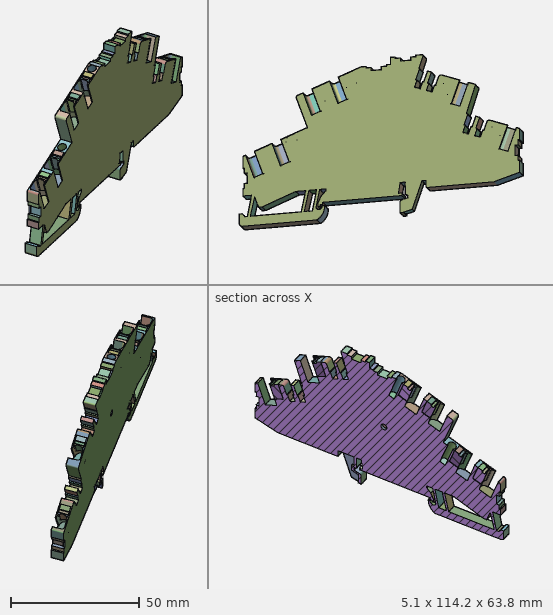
import cadquery as cq
import math


LENGTH = 114.2
THICKNESS = 5.1
LEFT_X = -THICKNESS / 2
RIGHT_X = THICKNESS / 2
FRONT_Y = LENGTH / 2
FOOT_REAR_Y = -LENGTH / 2
REAR_Y = -55.6
SLOPE = 20.0
SLOPE_RAD = math.radians(SLOPE)

UPPER_DECK_Z = 31.9
LOWER_DECK_Z = 29.0
HOUSING_BASE_Z = -19.5
WING_BASE_Z = -22.5
BODY_BASE_Z = -24.9
FOOT_TOP_Z = -28.0
FOOT_BASE_Z = -31.9

FRONT_UPPER_FACE = (16.1, 26.3)
FRONT_LOWER_FACE = (35.4, 6.3)
REAR_UPPER_FACE = (-7.5, LOWER_DECK_Z)
REAR_LOWER_FACE = (-29.3, 6.2)

FRONT_UPPER_END_Y = 39.2
REAR_UPPER_END_Y = -34.1

ENTRY_SIDE_X = -2.2
ENTRY_RADIUS = -ENTRY_SIDE_X
ENTRY_STRAIGHT = 3.8
ENTRY_CORNER_RADIUS = 1.0
ENTRY_DEPTH = 10.0
ACTUATOR_WIDTH = 4.1
ACTUATOR_START = 1.6
ACTUATOR_LENGTH = 4.3
ACTUATOR_DEPTH = 6.9
GROOVE_START = 0.9
GROOVE_WIDTH = 1.3
GROOVE_DEPTH = 0.8
TEST_HOLE_RADIUS = 1.7
TEST_HOLE_X = -0.1
TEST_HOLE_DEPTH = 10.3

ENTRIES = [
    (FRONT_LOWER_FACE, 52.2),
    (FRONT_UPPER_FACE, 32.7),
    (REAR_UPPER_FACE, -16.8),
    (REAR_UPPER_FACE, -27.5),
    (REAR_LOWER_FACE, -40.2),
    (REAR_LOWER_FACE, -50.9),
]
TEST_HOLES = [(REAR_UPPER_FACE, -9.1), (REAR_LOWER_FACE, -32.5)]

SLOT_DEPTH = 7.5
SLOT_STEP_DEPTH = 4.6
SLOT_FLOOR_WIDTH = 2.4
SLOT_MOUTH_OUTER = -0.5
SLOT_MOUTH_INNER = 3.0
SLOT_PITCH = 5.1
SLOTS = [(FRONT_UPPER_FACE, 24.0), (FRONT_LOWER_FACE, 43.6)]
CLEARANCE = 1.1

RECESS_WIDTH = 8.3
RECESS_STEP = 0.6
RECESS_FLOOR_WIDTH = 4.2
RECESS_LIP_DEPTH = 1.5
RECESS_FLOOR_DEPTH = 1.8
RECESS_LIP_WIDTH = 0.7
RECESSES = [
    ((10.6, UPPER_DECK_Z), 0),
    ((-1.4, LOWER_DECK_Z), 0),
    ((REAR_Y, -12.3), 90),
    ((FRONT_Y, -10.4), -90),
]

SIDE_HOLE_CENTER = (-2.0, 1.9)
SIDE_HOLE_RADIUS = 1.3
SIDE_HOLE_DEPTH = 2.3

LATCH_WEB_INSET = 1.9

FOOT_LEGS = [
    (-24.3, -25.6, -26.0, -27.3),
    (-28.7, -30.0, -30.6, -31.9),
    (-50.6, -52.1, -52.5, -53.8),
]
FOOT_CORNER_RADIUS = 1.4

END_RADIUS = 0.9
SLOT_LIP_RADIUS = 1.1
SMALL_RADIUS = 0.5


def plate(points, x_from=LEFT_X, x_to=RIGHT_X):
    """Prism along X with the given (Y, Z) outline."""
    return cq.Workplane("YZ", origin=(x_from, 0, 0)).polyline(points).close().extrude(x_to - x_from)


def block(x_range, y_range, z_range):
    """Box given by its limits along each axis."""
    sizes = [high - low for low, high in (x_range, y_range, z_range)]
    corner = (x_range[0], y_range[0], z_range[0])
    return cq.Workplane("XY", origin=corner).box(*sizes, centered=False)


def on_face(face, y):
    """Point (Y, Z) of a sloped face at the given Y."""
    return (y, face[1] - abs(y - face[0]) * math.tan(SLOPE_RAD))


def place_on_face(shape, face, y):
    """Move a shape to a sloped face at the given Y.

    The shape is modelled on the XY plane, with +Y pointing up the slope and +Z out of the face.
    """
    tilted = shape.rotate((0, 0, 0), (1, 0, 0), SLOPE)
    if y > face[0]:
        tilted = tilted.mirror("XZ")
    return tilted.translate((0, *on_face(face, y)))


def round_corners(body, corners, radius):
    """Fillet the edges along X that pass through the given (Y, Z) corners."""
    reach = 0.06
    for y, z in corners:
        near = cq.selectors.BoxSelector((-THICKNESS, y - reach, z - reach), (THICKNESS, y + reach, z + reach))
        body = body.edges("|X").edges(near).fillet(radius)
    return body


def housing_body():
    front_top = on_face(FRONT_LOWER_FACE, FRONT_Y)
    front_upper_end = on_face(FRONT_UPPER_FACE, FRONT_UPPER_END_Y)
    deck_front = (17.9, UPPER_DECK_Z)
    rear_upper_end = on_face(REAR_UPPER_FACE, REAR_UPPER_END_Y)
    rear_top = on_face(REAR_LOWER_FACE, REAR_Y)
    wing_inner = (19.0, WING_BASE_Z)
    body = plate([
        front_top,
        FRONT_LOWER_FACE,
        front_upper_end,
        FRONT_UPPER_FACE,
        deck_front,
        (4.5, UPPER_DECK_Z),
        (4.5, LOWER_DECK_Z),
        REAR_UPPER_FACE,
        rear_upper_end,
        REAR_LOWER_FACE,
        rear_top,
        (REAR_Y, HOUSING_BASE_Z),
        (-51.0, HOUSING_BASE_Z),
        (-49.2, -24.7),
        (-47.7, -24.7),
        (-34.0, HOUSING_BASE_Z),
        (-21.8, HOUSING_BASE_Z),
        (-21.8, -20.3),
        (-23.6, -22.1),
        (-25.0, -25.0),
        (-25.0, -26.5),
        (-24.2, -26.5),
        (-24.2, -25.8),
        (-23.1, -25.8),
        (-23.1, BODY_BASE_Z),
        (9.1, BODY_BASE_Z),
        (9.1, -23.9),
        (7.8, -23.9),
        (8.5, HOUSING_BASE_Z),
        (19.0, HOUSING_BASE_Z),
        wing_inner,
        (46.6, WING_BASE_Z),
        (FRONT_Y, HOUSING_BASE_Z),
    ])
    body = round_corners(body, [rear_upper_end, rear_top], END_RADIUS)
    return round_corners(body, [front_top, front_upper_end, deck_front, wing_inner], SMALL_RADIUS)


def rail_latch():
    inner_edge = [
        (10.5, HOUSING_BASE_Z), (10.5, -24.5), (11.5, -24.9), (11.5, -25.9),
        (8.3, -26.8), (8.3, FOOT_BASE_Z),
    ]
    band_edge = [
        (9.8, FOOT_BASE_Z), (9.8, -27.6), (12.9, -26.6), (12.9, -24.1),
        (11.9, -24.1), (11.9, HOUSING_BASE_Z),
    ]
    outer_edge = [(9.4, FOOT_BASE_Z), (13.4, -30.8), (17.4, HOUSING_BASE_Z)]
    web = plate([*inner_edge, *outer_edge], LEFT_X + LATCH_WEB_INSET)
    band = round_corners(plate([*inner_edge, *band_edge]), [(8.3, -26.8)], END_RADIUS)
    web = round_corners(web, [(8.3, -26.8)], END_RADIUS)
    return web.union(band)


def rail_foot():
    lip_z = -26.7
    foot = (
        cq.Workplane("YZ", origin=(LEFT_X, 0, 0))
        .moveTo(-22.3, -26.3)
        .lineTo(-23.3, -26.3)
        .threePointArc((-24.7, -27.6), (-25.9, -26.5))
        .lineTo(-27.3, FOOT_TOP_Z)
        .lineTo(-54.8, FOOT_TOP_Z)
        .lineTo(-55.8, lip_z)
        .lineTo(FOOT_REAR_Y, lip_z)
        .lineTo(FOOT_REAR_Y, FOOT_BASE_Z)
        .lineTo(-25.5, FOOT_BASE_Z)
        .threePointArc((-23.2, -29.7), (-22.3, -26.3))
        .close()
        .extrude(THICKNESS)
    )
    foot = round_corners(foot, [(FOOT_REAR_Y, FOOT_BASE_Z)], FOOT_CORNER_RADIUS)
    for top_front, top_rear, low_front, low_rear in FOOT_LEGS:
        leg = plate([
            (top_front, HOUSING_BASE_Z),
            (top_rear, HOUSING_BASE_Z),
            (low_rear, FOOT_TOP_Z),
            (low_front, FOOT_TOP_Z),
        ])
        foot = foot.union(leg)
    return foot


def stepped_slot():
    """Slot through the thickness; the outer edge of its floor is at local Y = 0."""
    through = (LEFT_X, RIGHT_X)
    lower = block(through, (0, SLOT_FLOOR_WIDTH), (-SLOT_DEPTH, CLEARANCE))
    mouth = block(through, (SLOT_MOUTH_OUTER, SLOT_MOUTH_INNER), (-SLOT_STEP_DEPTH, CLEARANCE))
    return lower.union(mouth)


def wire_entry():
    """Shaft open to the +X side, with a half-round end towards the actuator."""
    return (
        cq.Workplane("XY", origin=(0, 0, CLEARANCE))
        .moveTo(RIGHT_X, 0)
        .lineTo(RIGHT_X, -ENTRY_STRAIGHT)
        .lineTo(ENTRY_SIDE_X + ENTRY_CORNER_RADIUS, -ENTRY_STRAIGHT)
        .radiusArc((ENTRY_SIDE_X, -ENTRY_STRAIGHT + ENTRY_CORNER_RADIUS), ENTRY_CORNER_RADIUS)
        .lineTo(ENTRY_SIDE_X, 0)
        .threePointArc((0, ENTRY_RADIUS), (ENTRY_RADIUS, 0))
        .close()
        .extrude(-ENTRY_DEPTH - CLEARANCE)
    )


def test_hole():
    return cq.Workplane("XY").center(TEST_HOLE_X, 0).circle(TEST_HOLE_RADIUS).extrude(-TEST_HOLE_DEPTH)


ACTUATOR_X = (-ACTUATOR_WIDTH / 2, ACTUATOR_WIDTH / 2)


def actuator_pocket():
    return block(ACTUATOR_X, (ACTUATOR_START, ACTUATOR_START + ACTUATOR_LENGTH), (-ACTUATOR_DEPTH, 0))


def actuator():
    """Block filling its pocket, with a screwdriver groove and clear of the wire entry."""
    groove_y = ACTUATOR_START + GROOVE_START
    groove = block(ACTUATOR_X, (groove_y, groove_y + GROOVE_WIDTH), (-GROOVE_DEPTH, 0))
    return actuator_pocket().cut(groove).cut(wire_entry())


def jumper_recess(center, angle):
    half_floor = RECESS_FLOOR_WIDTH / 2
    half_step = RECESS_WIDTH / 2
    step = block((LEFT_X, RIGHT_X), (-half_step, half_step), (-RECESS_STEP, 0))
    lip_gap = block((LEFT_X, RIGHT_X), (-half_floor, half_floor), (-RECESS_LIP_DEPTH, 0))
    pocket_x = (LEFT_X + RECESS_LIP_WIDTH, RIGHT_X)
    pocket = block(pocket_x, (-half_floor, half_floor), (-RECESS_FLOOR_DEPTH, 0))
    recess = step.union(lip_gap).union(pocket)
    return recess.rotate((0, 0, 0), (1, 0, 0), angle).translate((0, *center))


def side_hole():
    return (
        cq.Workplane("YZ", origin=(LEFT_X, 0, 0))
        .center(*SIDE_HOLE_CENTER)
        .circle(SIDE_HOLE_RADIUS)
        .extrude(SIDE_HOLE_DEPTH)
    )


def build_housing():
    housing = housing_body()
    for face, y in SLOTS:
        for slot_y in (y, y - SLOT_PITCH * math.cos(SLOPE_RAD)):
            housing = housing.cut(place_on_face(stepped_slot(), face, slot_y))
        mouth_y = y - SLOT_MOUTH_OUTER * math.cos(SLOPE_RAD)
        housing = round_corners(housing, [on_face(face, mouth_y)], SLOT_LIP_RADIUS)
    housing = housing.union(rail_latch()).union(rail_foot())
    for center, angle in RECESSES:
        housing = housing.cut(jumper_recess(center, angle))
    for face, y in ENTRIES:
        housing = housing.cut(place_on_face(wire_entry(), face, y))
        housing = housing.cut(place_on_face(actuator_pocket(), face, y))
    for face, y in TEST_HOLES:
        housing = housing.cut(place_on_face(test_hole(), face, y))
    return housing.cut(side_hole())


housing = build_housing()
actuators = [place_on_face(actuator(), face, y) for face, y in ENTRIES]

result = cq.Compound.makeCompound([
    *housing.solids().vals(),
    *[solid for body in actuators for solid in body.solids().vals()],
])